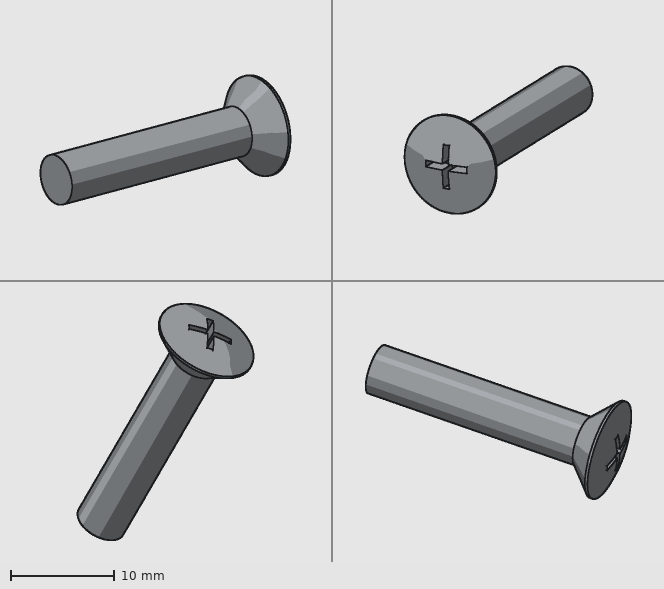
import cadquery as cq

total_length = 25.98
head_diameter = 10.0
shank_diameter = head_diameter / 2
dome_height = 1.0
rim_height = 0.29

recess_span = 4.47
recess_width = 0.65
recess_depth = 2.08

head_radius = head_diameter / 2
shank_radius = shank_diameter / 2
cone_height = head_radius - shank_radius

rim_top = total_length - dome_height
rim_bottom = rim_top - rim_height
shank_top = rim_bottom - cone_height

dome_radius = (head_radius**2 + dome_height**2) / (2 * dome_height)


def screw_body():
    """Shank, conical flank, rim and dome revolved about the Y axis."""
    profile = (
        cq.Workplane("XY")
        .lineTo(shank_radius, 0)
        .lineTo(shank_radius, shank_top)
        .lineTo(head_radius, rim_bottom)
        .lineTo(head_radius, rim_top)
        .radiusArc((0, total_length), -dome_radius)
        .close()
    )
    return profile.revolve(360, (0, 0, 0), (0, 1, 0))


def cross_recess():
    """Two crossed straight slots sunk from the dome apex."""
    recess_center = (0, total_length - recess_depth / 2, 0)
    arm_along_x = cq.Workplane("XY").box(recess_span, recess_depth, recess_width)
    arm_along_z = cq.Workplane("XY").box(recess_width, recess_depth, recess_span)
    return arm_along_x.union(arm_along_z).translate(recess_center)


result = screw_body().cut(cross_recess())